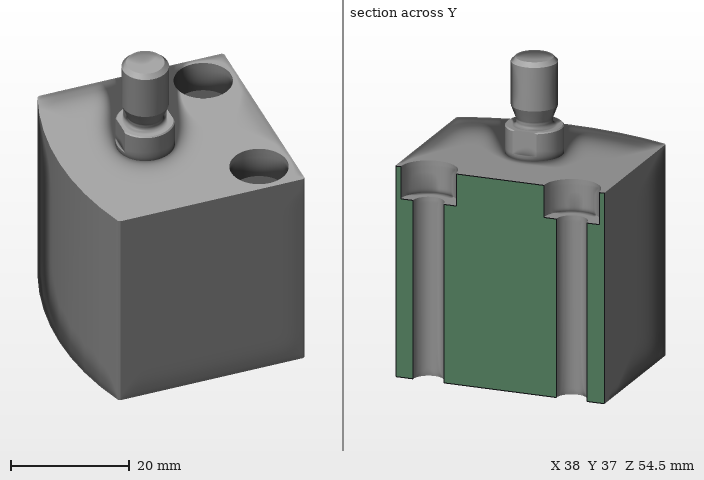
import cadquery as cq
import math


housing_width = 38.0
housing_height = 37.5
housing_back_y = 21.5
housing_front_y = -15.5
front_bulge = 3.4
edge_chamfer = 0.3

hole_spacing = 26.0
hole_back_margin = 6.0
hole_diameter = 5.5
counterbore_diameter = 10.0
counterbore_depth = 5.7

rod_length = 17.0
collar_diameter = 10.0
collar_height = 5.0
collar_chamfer = 0.2
neck_diameter = 6.2
groove_fillet = 0.6
neck_height = 1.1
taper_height = 2.4
shank_diameter = 8.0
tip_chamfer = 0.75

flat_distance = 9.0
flat_height = 4.2


def make_housing():
    """Block with a bowed front face and two counterbored through holes."""
    half_width = housing_width / 2
    corner_y = housing_front_y + front_bulge
    block = (
        cq.Workplane("XY")
        .moveTo(-half_width, corner_y)
        .threePointArc((0, housing_front_y), (half_width, corner_y))
        .lineTo(half_width, housing_back_y)
        .lineTo(-half_width, housing_back_y)
        .close()
        .extrude(housing_height)
        .edges("|Z")
        .chamfer(edge_chamfer)
    )
    hole_y = housing_back_y - hole_back_margin
    return (
        block.faces(">Z")
        .workplane(origin=(0, 0, housing_height))
        .pushPoints([(side * hole_spacing / 2, hole_y) for side in (-1, 1)])
        .cboreHole(hole_diameter, counterbore_diameter, counterbore_depth)
    )


def make_rod_blank():
    """Turned rod: collar, neck rounded at both ends, taper and chamfered shank."""
    collar_radius = collar_diameter / 2
    neck_radius = neck_diameter / 2
    shank_radius = shank_diameter / 2
    neck_top = collar_height + neck_height
    taper_angle = math.atan2(shank_radius - neck_radius, taper_height)
    blend_length = groove_fillet * math.tan(taper_angle / 2)
    blend_end_radius = neck_radius + blend_length * math.sin(taper_angle)
    blend_end_height = neck_top + blend_length * math.cos(taper_angle)
    profile = (
        cq.Workplane("XZ", origin=(0, 0, housing_height))
        .lineTo(collar_radius, 0)
        .lineTo(collar_radius, collar_height - collar_chamfer)
        .lineTo(collar_radius - collar_chamfer, collar_height)
        .lineTo(neck_radius + groove_fillet, collar_height)
        .radiusArc((neck_radius, collar_height + groove_fillet), groove_fillet)
        .lineTo(neck_radius, neck_top - blend_length)
        .radiusArc((blend_end_radius, blend_end_height), groove_fillet)
        .lineTo(shank_radius, neck_top + taper_height)
        .lineTo(shank_radius, rod_length - tip_chamfer)
        .lineTo(shank_radius - tip_chamfer, rod_length)
        .lineTo(0, rod_length)
        .close()
    )
    return profile.revolve(360, (0, 0, 0), (0, 1, 0))


def cut_wrench_flats(blank):
    """Cut two flats facing -Y and +Y into the upper part of the collar."""
    flat_base_z = housing_height + collar_height - flat_height
    flat_depth = (collar_diameter - flat_distance) / 2
    cutter_y = flat_distance / 2 + flat_depth / 2
    cutters = (
        cq.Workplane("XY", origin=(0, 0, flat_base_z))
        .pushPoints([(0, -cutter_y), (0, cutter_y)])
        .rect(collar_diameter, flat_depth)
        .extrude(flat_height)
    )
    return blank.cut(cutters)


housing = make_housing()
rod = cut_wrench_flats(make_rod_blank())

result = cq.Compound.makeCompound([housing.val(), rod.val()])